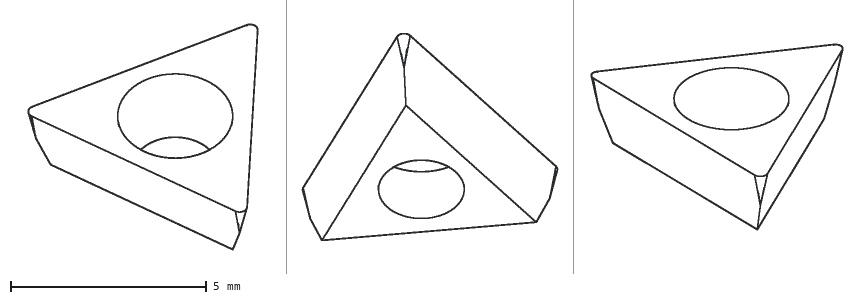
import cadquery as cq
import math

length_x = 6.58
thickness = 1.98
corner_radius = 0.2
clearance_angle = 11.0
bore_radius = 2.2 / 2
recess_radius = 2.95 / 2
recess_bottom_radius = 1.44
recess_depth = 0.35
seat_radius = 1.35
seat_depth = 0.58
bore_depth = 1.49

centre_side = length_x - 2 * corner_radius
centre_inradius = centre_side / (2 * math.sqrt(3))
clearance_slope = math.tan(math.radians(clearance_angle))
corner_depth = corner_radius / clearance_slope


def sharp_body():
    """Triangle with one corner towards +Y, narrowing downwards, before its corners are rounded."""
    inradius = centre_inradius + corner_radius
    half_side = math.sqrt(3) * inradius
    corners = [(-half_side, -inradius), (half_side, -inradius), (0, 2 * inradius)]
    return cq.Workplane("XY").polyline(corners).close().extrude(-thickness, taper=clearance_angle)


def corner_waste():
    """Material outside the +Y corner cone, between the lines where the cone meets the flanks."""
    centre_y = 2 * centre_inradius
    tangent_x = corner_radius * math.cos(math.radians(30))
    tangent_y = centre_y + corner_radius * math.sin(math.radians(30))
    sharp_tip_y = centre_y + 2 * corner_radius
    block = (
        cq.Workplane("XY")
        .polyline([(0, centre_y), (tangent_x, tangent_y), (0, sharp_tip_y), (-tangent_x, tangent_y)])
        .close()
        .extrude(-corner_depth)
    )
    apex_down = cq.Vector(0, 0, -1)
    cone = cq.Solid.makeCone(corner_radius, 0, corner_depth, cq.Vector(0, centre_y, 0), apex_down)
    return block.cut(cq.Workplane(cone))


def screw_hole():
    """Through bore opening through two blended arcs into a slightly tapered recess."""
    run = seat_radius - bore_radius
    drop = bore_depth - seat_depth
    arc_radius = (run**2 + drop**2) / (2 * run)
    seat_angle = math.asin(drop / arc_radius)
    seat_mid = (
        bore_radius + arc_radius * (1 - math.cos(seat_angle / 2)),
        -bore_depth + arc_radius * math.sin(seat_angle / 2),
    )
    return (
        cq.Workplane("XZ")
        .moveTo(0, -thickness)
        .lineTo(bore_radius, -thickness)
        .lineTo(bore_radius, -bore_depth)
        .threePointArc(seat_mid, (seat_radius, -seat_depth))
        .tangentArcPoint((recess_bottom_radius, -recess_depth), relative=False)
        .lineTo(recess_radius, 0)
        .lineTo(0, 0)
        .close()
        .revolve(360, (0, 0, 0), (0, 1, 0))
    )


body = sharp_body()
for angle in (0, 120, 240):
    body = body.cut(corner_waste().rotate((0, 0, 0), (0, 0, 1), angle))

result = cq.Workplane(body.cut(screw_hole()).solids().val())